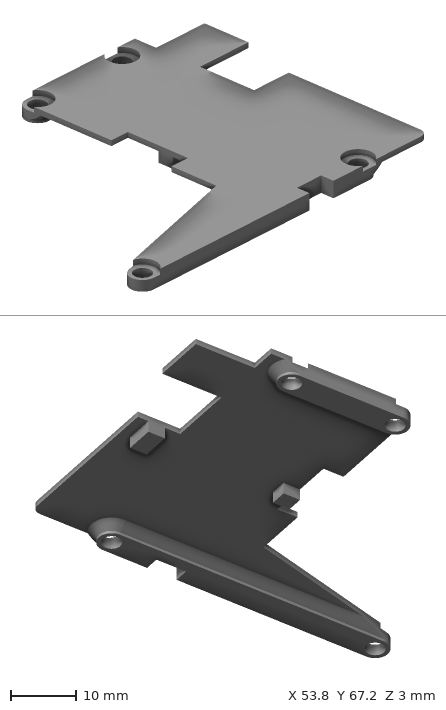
import cadquery as cq
import math

width = 53.8
length = 67.25
height = 3.0
plate_thickness = 1.0
plate_bottom = height - plate_thickness

boss_radius = 2.35
hole_diameter = 3.2
head_recess_diameter = 5.5
left_x = boss_radius
right_x = width - boss_radius
upper_y = 51.0
lower_y = 31.9
arm_tip_y = boss_radius
screw_points = [(left_x, upper_y), (left_x, lower_y), (right_x, upper_y), (right_x, arm_tip_y)]

body_bottom = lower_y - boss_radius
shoulder_y = 56.35
tab_left = 4.45
tab_right = 13.6
wing_left = 24.8
wing_top = 64.15
wing_corner_radius = 1.55
arm_root_x = 41.7
front_notch_left = 19.9
front_notch_right = 32.4
front_notch_top = 33.2
side_notch_x = 51.25
side_notch_bottom = 37.4
side_notch_top = 42.85

rail_foot_height = 0.5
rail_flare = 1.35

wing_peg_width = 5.0
wing_peg_depth = 3.0
wing_peg_y = 59.2
notch_peg_x = 26.3
notch_peg_width = 2.9
notch_peg_depth = 3.0


def outline_prism():
    """Full-height prism of the plate outline, with a tapered arm tangent to its rounded tip."""
    root_dx = arm_root_x - right_x
    root_dy = body_bottom - arm_tip_y
    root_distance = math.hypot(root_dx, root_dy)
    tangent_angle = math.atan2(root_dy, root_dx) + math.acos(boss_radius / root_distance)
    tangent_point = (
        right_x + boss_radius * math.cos(tangent_angle),
        arm_tip_y + boss_radius * math.sin(tangent_angle),
    )
    diagonal = boss_radius * math.sqrt(0.5)
    wing_inset = wing_corner_radius * (1 - math.sqrt(0.5))
    return (
        cq.Workplane("XY")
        .moveTo(left_x, body_bottom)
        .lineTo(front_notch_left, body_bottom)
        .lineTo(front_notch_left, front_notch_top)
        .lineTo(front_notch_right, front_notch_top)
        .lineTo(front_notch_right, body_bottom)
        .lineTo(arm_root_x, body_bottom)
        .lineTo(*tangent_point)
        .threePointArc((right_x, 0), (width, arm_tip_y))
        .lineTo(width, side_notch_bottom)
        .lineTo(side_notch_x, side_notch_bottom)
        .lineTo(side_notch_x, side_notch_top)
        .lineTo(width, side_notch_top)
        .lineTo(width, wing_top - wing_corner_radius)
        .threePointArc(
            (width - wing_inset, wing_top - wing_inset), (width - wing_corner_radius, wing_top)
        )
        .lineTo(wing_left, wing_top)
        .lineTo(wing_left, shoulder_y)
        .lineTo(tab_right, shoulder_y)
        .lineTo(tab_right, length)
        .lineTo(tab_left, length)
        .lineTo(tab_left, shoulder_y)
        .lineTo(0, shoulder_y)
        .lineTo(0, lower_y)
        .threePointArc((left_x - diagonal, lower_y - diagonal), (left_x, body_bottom))
        .close()
        .extrude(height)
    )


def rail(x, y_start, y_end):
    """Round-ended rail joining two bosses, with a straight foot and a flared upper part."""
    span = y_end - y_start
    middle = (x, (y_start + y_end) / 2)
    foot_width = 2 * boss_radius
    foot = (
        cq.Workplane("XY").center(*middle).slot2D(span + foot_width, foot_width, 90)
        .extrude(rail_foot_height)
    )
    flare_height = plate_bottom - rail_foot_height
    flare = (
        cq.Workplane("XY").workplane(offset=rail_foot_height)
        .center(*middle).slot2D(span + foot_width, foot_width, 90)
        .extrude(flare_height, taper=-math.degrees(math.atan2(rail_flare, flare_height)))
    )
    return foot.union(flare)


def peg(x, y, peg_width, peg_depth):
    """Rectangular peg from the base level up to the underside of the plate."""
    return cq.Workplane("XY").box(peg_width, peg_depth, plate_bottom, centered=False).translate((x, y, 0))


outline = outline_prism()
plate = outline.intersect(
    cq.Workplane("XY").workplane(offset=plate_bottom).rect(width, length, centered=False)
    .extrude(plate_thickness)
)
rails = rail(left_x, lower_y, upper_y).union(rail(right_x, arm_tip_y, upper_y))
result = plate.union(rails.intersect(outline))

result = result.union(peg(wing_left, wing_peg_y, wing_peg_width, wing_peg_depth))
result = result.union(peg(notch_peg_x, front_notch_top, notch_peg_width, notch_peg_depth))

holes = cq.Workplane("XY").pushPoints(screw_points).circle(hole_diameter / 2).extrude(height)
recesses = (
    cq.Workplane("XY").workplane(offset=plate_bottom).pushPoints(screw_points)
    .circle(head_recess_diameter / 2).extrude(plate_thickness)
)
result = result.cut(holes).cut(recesses)